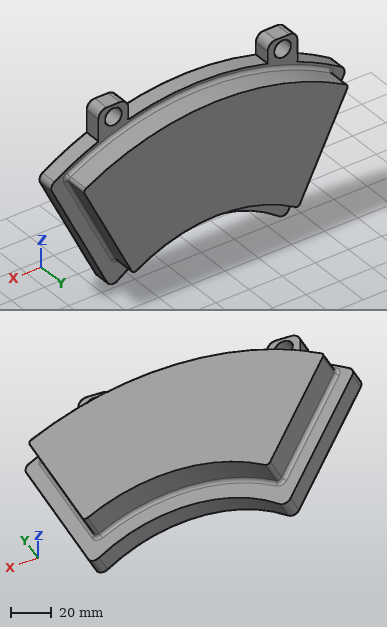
import cadquery as cq
import math


PLATE_THICKNESS = 10.0
PAD_THICKNESS = 15.0

OUTER_RADIUS = 162.7
INNER_RADIUS = 81.0
OUTER_HALF_WIDTH = 89.61
INNER_HALF_WIDTH = 52.5
PLATE_CORNER_RADIUS = 4.0

TAB_SPACING = 102.0
TAB_WIDTH = 18.0
TAB_TOP_HEIGHT = 169.3
TAB_CORNER_RADIUS = 5.0
TAB_HOLE_DIAMETER = 10.0
TAB_HOLE_DEPTH_BELOW_TOP = 7.0

PAD_OUTER_RADIUS = 159.4
PAD_INNER_RADIUS = 92.0
PAD_SIDE_INSET = 9.5
PAD_CORNER_RADIUS = 2.0
PAD_ROOT_FILLET = 2.0

OUTER_CORNER_Z = math.sqrt(OUTER_RADIUS**2 - OUTER_HALF_WIDTH**2)
INNER_CORNER_Z = math.sqrt(INNER_RADIUS**2 - INNER_HALF_WIDTH**2)
SIDE_SLOPE = (OUTER_HALF_WIDTH - INNER_HALF_WIDTH) / (OUTER_CORNER_Z - INNER_CORNER_Z)
SIDE_OFFSET = OUTER_HALF_WIDTH - SIDE_SLOPE * OUTER_CORNER_Z


def side_corner(radius, inset):
    """Point where the side line, moved inward by inset, meets the arc of the given radius."""
    offset = SIDE_OFFSET - inset * math.hypot(1, SIDE_SLOPE)
    a = 1 + SIDE_SLOPE**2
    b = 2 * SIDE_SLOPE * offset
    c = offset**2 - radius**2
    z = (-b + math.sqrt(b**2 - 4 * a * c)) / (2 * a)
    return offset + SIDE_SLOPE * z, z


def sector(outer_radius, inner_radius, side_inset, y_start, thickness, corner_radius):
    """Annular sector with straight sides and rounded corners, extruded toward +Y."""
    outer_x, outer_z = side_corner(outer_radius, side_inset)
    inner_x, inner_z = side_corner(inner_radius, side_inset)
    return (
        cq.Workplane("XZ", origin=(0, y_start, 0))
        .moveTo(-outer_x, outer_z)
        .threePointArc((0, outer_radius), (outer_x, outer_z))
        .lineTo(inner_x, inner_z)
        .threePointArc((0, inner_radius), (-inner_x, inner_z))
        .close()
        .extrude(-thickness)
        .edges("|Y")
        .fillet(corner_radius)
    )


def hanger_tab(x_center):
    """Tab with rounded top corners; its foot is buried in the plate."""
    foot_z = side_corner(OUTER_RADIUS, 0)[1]
    height = TAB_TOP_HEIGHT - foot_z
    return (
        cq.Workplane("XZ")
        .center(x_center, foot_z + height / 2)
        .rect(TAB_WIDTH, height)
        .extrude(-PLATE_THICKNESS)
        .edges("|Y and >Z")
        .fillet(TAB_CORNER_RADIUS)
    )


def tab_hole(x_center):
    """Cutter for the pin hole through a tab."""
    return (
        cq.Workplane("XZ")
        .center(x_center, TAB_TOP_HEIGHT - TAB_HOLE_DEPTH_BELOW_TOP)
        .circle(TAB_HOLE_DIAMETER / 2)
        .extrude(-PLATE_THICKNESS)
    )


def backing_plate():
    plate = sector(OUTER_RADIUS, INNER_RADIUS, 0, 0, PLATE_THICKNESS, PLATE_CORNER_RADIUS)
    for x_center in (-TAB_SPACING / 2, TAB_SPACING / 2):
        plate = plate.union(hanger_tab(x_center)).cut(tab_hole(x_center))
    return plate


def friction_pad():
    return sector(
        PAD_OUTER_RADIUS,
        PAD_INNER_RADIUS,
        PAD_SIDE_INSET,
        PLATE_THICKNESS,
        PAD_THICKNESS,
        PAD_CORNER_RADIUS,
    )


def fillet_pad_root(body):
    """Round the inner corner where the pad walls meet the back of the plate."""
    half_band = 0.01
    pad_half_width = side_corner(PAD_OUTER_RADIUS, PAD_SIDE_INSET)[0]
    pad_lowest_z = side_corner(PAD_INNER_RADIUS, PAD_SIDE_INSET)[1]
    pad_root = cq.selectors.BoxSelector(
        (-pad_half_width, PLATE_THICKNESS - half_band, pad_lowest_z),
        (pad_half_width, PLATE_THICKNESS + half_band, PAD_OUTER_RADIUS + half_band),
        boundingbox=True,
    )
    return body.edges(pad_root).fillet(PAD_ROOT_FILLET)


result = fillet_pad_root(backing_plate().union(friction_pad()))